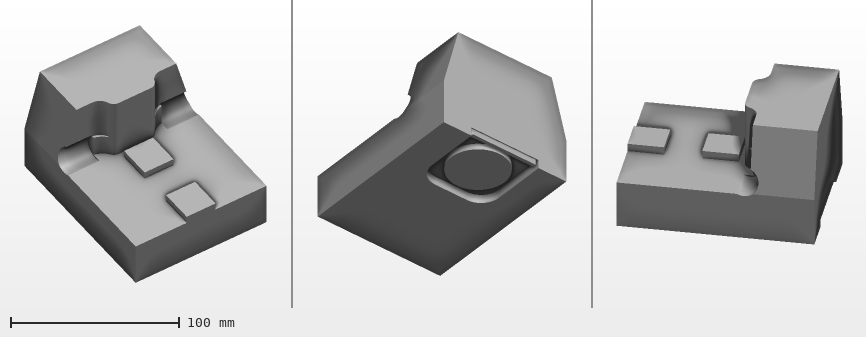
import cadquery as cq
import math

length = 119.0
width = 93.0
height = 72.0
base_height = 30.0

head_length = 48.0
head_top_width = 71.0
taper_start_height = 30.8
shoulder_x = 39.0
shoulder_inner_y = 24.2
nose_flat_half_width = 11.5
nose_corner_radius = 5.0
nose_flank_radius = 15.8
nose_corner_depth = 1.95

relief_radius = 8.25
relief_floor_z = 44.0

groove_radius = 8.5
groove_x = 42.4
groove_z = 37.4

pad_length = 22.0
pad_width = 20.5
pad_height = 5.0
pad_starts = (52.0, length - pad_length)

recess_size = 51.0
recess_height = 6.0
recess_flat_half_width = 12.0
bar_clearance = 0.8
bar_thickness = 2.5
bar_bottom_z = 2.2
disc_diameter = 40.0
disc_bottom_z = 1.8


def box(x_start, x_end, y_start, y_end, z_start, z_end):
    """Axis-aligned box given by its limits."""
    size = (x_end - x_start, y_end - y_start, z_end - z_start)
    return cq.Workplane("XY").box(*size, centered=False).translate((x_start, y_start, z_start))


def nose_plan():
    """Plan of the head: a straight back and a nose with S-shaped flanks."""
    corner_center_x = head_length - nose_corner_radius
    joint_angle = math.acos(1 - nose_corner_depth / nose_corner_radius)

    def corner_point(angle):
        x = corner_center_x + nose_corner_radius * math.cos(angle)
        y = nose_flat_half_width + nose_corner_radius * math.sin(angle)
        return x, y

    center_distance = nose_corner_radius + nose_flank_radius
    flank_center_x = corner_center_x + center_distance * math.cos(joint_angle)
    flank_center_y = nose_flat_half_width + center_distance * math.sin(joint_angle)

    def flank_point(y):
        x = flank_center_x - math.sqrt(nose_flank_radius**2 - (flank_center_y - y) ** 2)
        return x, y

    joint = corner_point(joint_angle)
    corner_mid = corner_point(joint_angle / 2)
    corner_start = corner_point(0)
    flank_mid = flank_point((shoulder_inner_y + joint[1]) / 2)
    flank_end = flank_point(shoulder_inner_y)

    def mirrored(point):
        return point[0], -point[1]

    return (
        cq.Workplane("XY")
        .moveTo(0, -width / 2)
        .lineTo(shoulder_x, -width / 2)
        .lineTo(shoulder_x, -shoulder_inner_y)
        .lineTo(*mirrored(flank_end))
        .threePointArc(mirrored(flank_mid), mirrored(joint))
        .threePointArc(mirrored(corner_mid), mirrored(corner_start))
        .lineTo(*corner_start)
        .threePointArc(corner_mid, joint)
        .threePointArc(flank_mid, flank_end)
        .lineTo(shoulder_x, shoulder_inner_y)
        .lineTo(shoulder_x, width / 2)
        .lineTo(0, width / 2)
        .close()
    )


def make_head():
    """Nose plan over the full height, limited by the tapered end profile."""
    tapered_profile = (
        cq.Workplane("YZ")
        .polyline(
            [
                (-width / 2, 0),
                (width / 2, 0),
                (width / 2, taper_start_height),
                (head_top_width / 2, height),
                (-head_top_width / 2, height),
                (-width / 2, taper_start_height),
            ]
        )
        .close()
        .extrude(head_length)
    )
    return nose_plan().extrude(height).intersect(tapered_profile)


def make_side_cuts(side):
    """Groove and vertical relief on one side; side is +1 or -1 along Y."""
    groove_length = width / 2 - shoulder_inner_y
    groove = (
        cq.Workplane("XZ", origin=(0, side * shoulder_inner_y, 0))
        .center(groove_x, groove_z)
        .circle(groove_radius)
        .extrude(-side * groove_length)
    )
    relief = (
        cq.Workplane("XY", origin=(0, 0, relief_floor_z))
        .center(shoulder_x + relief_radius, side * shoulder_inner_y)
        .circle(relief_radius)
        .extrude(height - relief_floor_z)
    )
    return groove.union(relief)


def make_pads():
    pads = cq.Workplane("XY")
    half_width = pad_width / 2
    pad_top = base_height + pad_height
    for start in pad_starts:
        pads = pads.union(box(start, start + pad_length, -half_width, half_width, base_height, pad_top))
    return pads


def make_underside_recess():
    """Recess with large inner corners, less the bar and disc that hang in it."""
    half_size = recess_size / 2
    corner_radius = half_size - recess_flat_half_width
    recess = box(0, recess_size, -half_size, half_size, 0, recess_height)
    recess = recess.edges("|Z and >X").fillet(corner_radius)
    bar = (
        cq.Workplane("XY", origin=(0, 0, bar_bottom_z))
        .center(bar_clearance + bar_thickness / 2, 0)
        .slot2D(recess_size - 2 * bar_clearance, bar_thickness, angle=90)
        .extrude(recess_height - bar_bottom_z)
    )
    disc = (
        cq.Workplane("XY", origin=(0, 0, disc_bottom_z))
        .center(recess_size / 2, 0)
        .circle(disc_diameter / 2)
        .extrude(recess_height - disc_bottom_z)
    )
    return recess.cut(bar).cut(disc)


base = box(0, length, -width / 2, width / 2, 0, base_height)
body = base.union(make_head()).union(make_pads())
for side in (1, -1):
    body = body.cut(make_side_cuts(side))
result = body.cut(make_underside_recess())